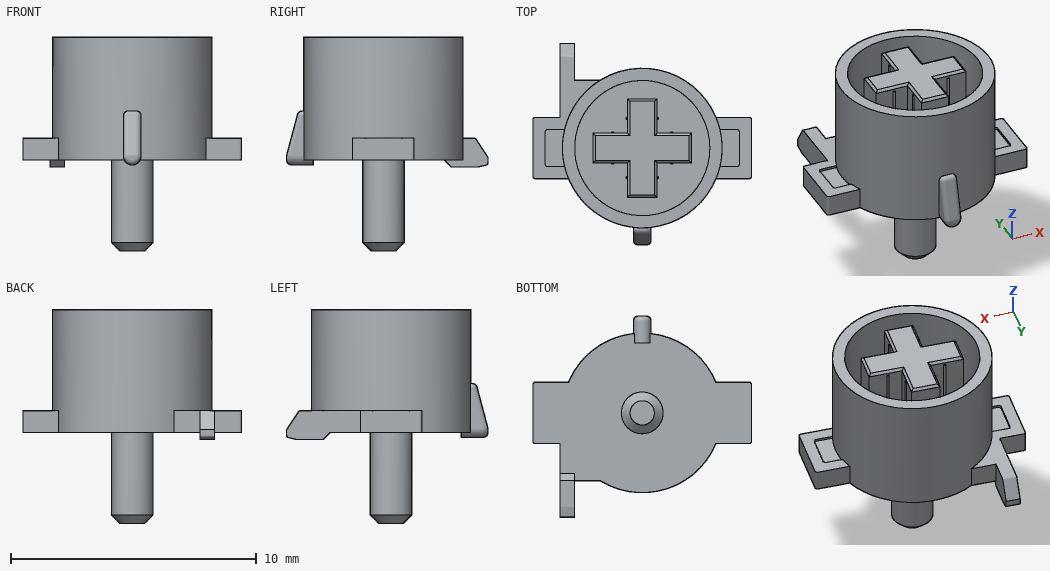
import cadquery as cq

OVERALL_LENGTH = 8.9
HOUSING_DIAMETER = 6.5
BORE_DIAMETER = 5.5
HOUSING_HEIGHT = 5.0
WALL = (HOUSING_DIAMETER - BORE_DIAMETER) / 2

PIN_DIAMETER = 1.7
PIN_LENGTH = 3.7
PIN_CHAMFER = 0.36

LUG_WIDTH = 2.5
LUG_HEIGHT = 0.9
LUG_CORNER_RADIUS = 0.1
RECESS_DEPTH = 0.1
RECESS_LENGTH = OVERALL_LENGTH - 2 * WALL
RECESS_WIDTH = LUG_WIDTH - 2 * WALL

ARM_WIDTH = 0.6
ARM_OUTER_X = -3.35
ARM_TIP_Y = 4.25
ARM_SLOPE_TOP_Y = 3.74
ARM_SLOPE_BOTTOM_Z = 0.125
ARM_NOSE_Z = -0.19
ARM_FOOT_DEPTH = 0.285
ARM_FOOT_OUTER_Y = 3.845
ARM_FOOT_INNER_Y = 2.76
ARM_CORNER_RADIUS = 0.1
WEB_EDGE_Y = 2.77
WEB_INNER_X = -1.335

CROSS_SPAN = 4.005
CROSS_BAR_WIDTH = 1.21
CROSS_CHAMFER = 0.1
CRUSH_RIB_RADIUS = 0.05
CRUSH_RIB_OFFSET = 1.2
CRUSH_RIB_DROP = 0.2

KEY_WIDTH = 0.72
KEY_TOP_Z = 2.0
KEY_TOP_Y = -3.46
KEY_TIP_Y = -3.94
KEY_SLOPE_BOTTOM_Z = 0.2
KEY_BOTTOM_Z = -0.2
KEY_INNER_Y = -2.85
KEY_ROUND = 0.2


def housing_body():
    return cq.Workplane("XY").circle(HOUSING_DIAMETER / 2).extrude(HOUSING_HEIGHT)


def side_lugs():
    """One bar across the housing, recessed at both ends of its top face."""
    bar = (
        cq.Workplane("XY")
        .rect(OVERALL_LENGTH, LUG_WIDTH)
        .extrude(LUG_HEIGHT)
        .edges("|Z")
        .fillet(LUG_CORNER_RADIUS)
    )
    recess = (
        cq.Workplane("XY", origin=(0, 0, LUG_HEIGHT - RECESS_DEPTH))
        .rect(RECESS_LENGTH, RECESS_WIDTH)
        .extrude(RECESS_DEPTH)
        .edges("|Z")
        .fillet(LUG_CORNER_RADIUS)
    )
    return bar.cut(recess)


def latch_arm():
    """Hooked arm with its profile in the YZ plane, plus its flat web."""
    start_y = RECESS_WIDTH / 2
    profile = [
        (start_y, 0),
        (start_y, LUG_HEIGHT),
        (ARM_SLOPE_TOP_Y, LUG_HEIGHT),
        (ARM_TIP_Y, ARM_SLOPE_BOTTOM_Z),
        (ARM_TIP_Y, ARM_NOSE_Z),
        (ARM_FOOT_OUTER_Y, -ARM_FOOT_DEPTH),
        (ARM_FOOT_INNER_Y, -ARM_FOOT_DEPTH),
        (ARM_FOOT_INNER_Y - ARM_FOOT_DEPTH, 0),
    ]
    arm = cq.Workplane("YZ", origin=(ARM_OUTER_X, 0, 0)).polyline(profile).close().extrude(ARM_WIDTH)
    middle_x = ARM_OUTER_X + ARM_WIDTH / 2
    rounded_corners = [(ARM_SLOPE_TOP_Y, LUG_HEIGHT), (ARM_TIP_Y, ARM_NOSE_Z)]
    for y, z in rounded_corners:
        corner = cq.selectors.NearestToPointSelector((middle_x, y, z))
        arm = arm.edges(corner).fillet(ARM_CORNER_RADIUS)
    web = (
        cq.Workplane("XY", origin=(ARM_OUTER_X, start_y, 0))
        .box(WEB_INNER_X - ARM_OUTER_X, WEB_EDGE_Y - start_y, LUG_HEIGHT, centered=False)
    )
    return arm.union(web)


def sloped_key():
    """Upright bar with a half-round bottom, its outer face leaning inward, rounded outside."""
    radius = KEY_WIDTH / 2
    bar = (
        cq.Workplane("XZ", origin=(0, KEY_INNER_Y, 0))
        .moveTo(-radius, KEY_TOP_Z)
        .lineTo(-radius, KEY_BOTTOM_Z + radius)
        .threePointArc((0, KEY_BOTTOM_Z), (radius, KEY_BOTTOM_Z + radius))
        .lineTo(radius, KEY_TOP_Z)
        .close()
        .extrude(KEY_INNER_Y - KEY_TIP_Y)
    )
    slope_cut = (
        cq.Workplane("YZ", origin=(-KEY_WIDTH, 0, 0))
        .polyline([(KEY_TIP_Y, KEY_SLOPE_BOTTOM_Z), (KEY_TOP_Y, KEY_TOP_Z), (KEY_TIP_Y, KEY_TOP_Z)])
        .close()
        .extrude(2 * KEY_WIDTH)
    )
    key = bar.cut(slope_cut)
    return key.edges("not (>Y or (|Y and (not >Z)))").fillet(KEY_ROUND)


def locating_pin():
    return (
        cq.Workplane("XY")
        .circle(PIN_DIAMETER / 2)
        .extrude(-PIN_LENGTH)
        .faces("<Z")
        .chamfer(PIN_CHAMFER)
    )


def bore():
    floor = cq.Workplane("XY", origin=(0, 0, WALL))
    return floor.circle(BORE_DIAMETER / 2).extrude(HOUSING_HEIGHT - WALL)


def cross_post():
    """Cross standing on the bore floor, flush with the rim, with two ribs on each arm."""
    height = HOUSING_HEIGHT - WALL
    floor = cq.Workplane("XY", origin=(0, 0, WALL))
    cross = (
        floor.rect(CROSS_SPAN, CROSS_BAR_WIDTH)
        .extrude(height)
        .union(floor.rect(CROSS_BAR_WIDTH, CROSS_SPAN).extrude(height))
        .faces(">Z")
        .chamfer(CROSS_CHAMFER)
    )
    side = CROSS_BAR_WIDTH / 2
    rib_spots = []
    for along in (-CRUSH_RIB_OFFSET, CRUSH_RIB_OFFSET):
        for across in (-side, side):
            rib_spots += [(along, across), (across, along)]
    ribs = floor.pushPoints(rib_spots).circle(CRUSH_RIB_RADIUS).extrude(height - CRUSH_RIB_DROP)
    return cross.union(ribs)


result = (
    housing_body()
    .union(side_lugs())
    .union(latch_arm())
    .union(sloped_key())
    .cut(bore())
    .union(locating_pin())
    .union(cross_post())
)